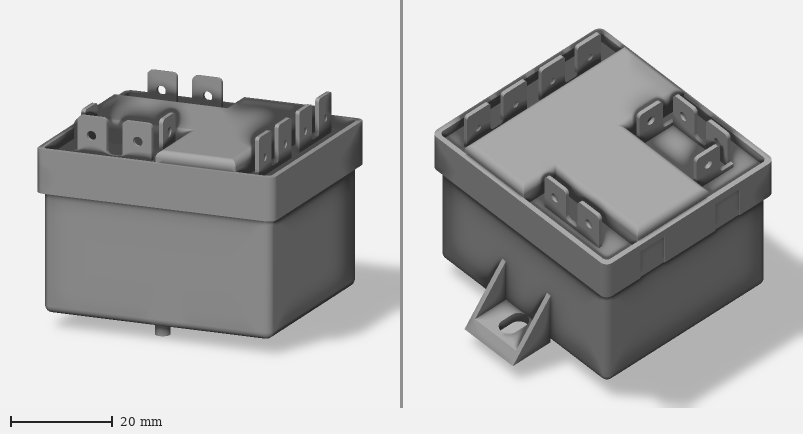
import cadquery as cq


OVERALL_Y = 53.9

COLLAR_X = 51.2
COLLAR_Y = 44.95
COLLAR_BOTTOM = 24.85
COLLAR_TOP = 33.9
COLLAR_CORNER = 1.6
RIM_WIDTH = 1.15
RECESS_DEPTH = 2.25
RECESS_CORNER = 1.1
FLOOR = COLLAR_TOP - RECESS_DEPTH

BODY_X = COLLAR_X - 2 * RIM_WIDTH
BODY_Y = COLLAR_Y - 2 * RIM_WIDTH
BODY_EDGE = 1.5

WINDOW_CENTERS_Y = (10.0, -9.85)
WINDOW_WIDTH = 6.45
WINDOW_TOP = 32.0
WINDOW_DEPTH = 0.2

PLATEAU_TOP = 36.1
PLATEAU_EDGE = 1.45
STEM_LEFT = -0.25
STEM_RIGHT = 17.05
ARM_FRONT = -5.95
ARM_BACK = 12.95

BLADE_TOP = 40.05
BLADE_WIDTH = 6.25
BLADE_GAP = 3.4
BLADE_THICKNESS = 0.85
FOOT_HEIGHT = 0.9
HOLE_PITCH = 9.95
PAIR_WIDTH = 2 * BLADE_WIDTH + BLADE_GAP

LEFT_PAIRS_X = -11.05
REAR_PAIR_Y = 17.95
FRONT_PAIR_Y = -16.3
LEFT_CORNER = 0.95
LEFT_HOLE_DIAMETER = 2.0
LEFT_HOLE_Z = 36.1
SIDE_BLADE_BACK = -6.85
SIDE_FOOT_FRONT = FRONT_PAIR_Y - BLADE_THICKNESS / 2
SIDE_HOLE_Z = 36.7

RIGHT_PAIRS_X = 19.75
RIGHT_PAIRS_Y = (10.65, -9.1)
RIGHT_CORNER = 0.7
RIGHT_HOLE_DIAMETER = 1.5
RIGHT_HOLE_Z = 35.3

PIN_DIAMETER = 3.05
PIN_LENGTH = 3.0
PIN_X = -1.0
PIN_Y = -15.95

BRACKET_X = -1.1
BRACKET_WIDTH = 14.2
BRACKET_REACH = OVERALL_Y - COLLAR_Y / 2
BRACKET_HEIGHT = 12.85
BRACKET_WALL = 1.1
BRACKET_BASE = 2.3
BRACKET_SLOT_WIDTH = 4.1
BRACKET_SLOT_END = 28.05


def block(x_min, x_max, y_min, y_max, z_min, z_max):
    """Box given by its limits along each axis."""
    size = (x_max - x_min, y_max - y_min, z_max - z_min)
    return cq.Workplane("XY").box(*size, centered=False).translate((x_min, y_min, z_min))


def centered_block(size_x, size_y, z_min, z_max):
    """Box centered on the Z axis."""
    return block(-size_x / 2, size_x / 2, -size_y / 2, size_y / 2, z_min, z_max)


def make_body():
    body = centered_block(BODY_X, BODY_Y, 0, FLOOR)
    return body.edges("|Z").fillet(BODY_EDGE).faces("<Z").edges().fillet(BODY_EDGE)


def make_collar():
    """Rounded band with a recess in its top and windows in its -X face."""
    collar = centered_block(COLLAR_X, COLLAR_Y, COLLAR_BOTTOM, COLLAR_TOP)
    collar = collar.edges("|Z").fillet(COLLAR_CORNER)
    recess = centered_block(BODY_X, BODY_Y, FLOOR, COLLAR_TOP)
    collar = collar.cut(recess.edges("|Z").fillet(RECESS_CORNER))
    left = -COLLAR_X / 2
    for center_y in WINDOW_CENTERS_Y:
        y_min = center_y - WINDOW_WIDTH / 2
        y_max = center_y + WINDOW_WIDTH / 2
        collar = collar.cut(block(left, left + WINDOW_DEPTH, y_min, y_max, COLLAR_BOTTOM, WINDOW_TOP))
    return collar


def make_plateau():
    half_y = BODY_Y / 2
    outline = [
        (STEM_LEFT, -half_y),
        (STEM_RIGHT, -half_y),
        (STEM_RIGHT, half_y),
        (STEM_LEFT, half_y),
        (STEM_LEFT, ARM_BACK),
        (-BODY_X / 2, ARM_BACK),
        (-BODY_X / 2, ARM_FRONT),
        (STEM_LEFT, ARM_FRONT),
    ]
    plateau = cq.Workplane("XY", origin=(0, 0, FLOOR)).polyline(outline).close()
    plateau = plateau.extrude(PLATEAU_TOP - FLOOR)
    return plateau.faces(">Z").edges().fillet(PLATEAU_EDGE)


def make_blade_pair(corner, hole_diameter, hole_z):
    """Two blades along X on a common foot, split by a slot with a rounded root."""
    half = BLADE_THICKNESS / 2
    pair = centered_block(PAIR_WIDTH, BLADE_THICKNESS, FLOOR, BLADE_TOP)
    slot = centered_block(BLADE_GAP, BLADE_THICKNESS, FLOOR + FOOT_HEIGHT, BLADE_TOP)
    pair = pair.cut(slot.faces("<Z").edges("|Y").fillet(corner))
    pair = pair.faces(">Z").edges("|Y").fillet(corner)
    holes = cq.Workplane("XZ", origin=(0, 0, hole_z))
    holes = holes.pushPoints([(-HOLE_PITCH / 2, 0), (HOLE_PITCH / 2, 0)]).circle(hole_diameter / 2)
    return pair.cut(holes.extrude(half, both=True))


def make_side_blade():
    """One blade along Y, centered on X = 0, whose foot runs forward to the front pair."""
    half = BLADE_THICKNESS / 2
    blade_front = SIDE_BLADE_BACK - BLADE_WIDTH
    foot_top = FLOOR + FOOT_HEIGHT
    outline = cq.Workplane("YZ").moveTo(SIDE_BLADE_BACK, FLOOR).lineTo(SIDE_BLADE_BACK, BLADE_TOP)
    outline = outline.lineTo(blade_front, BLADE_TOP).lineTo(blade_front, foot_top + LEFT_CORNER)
    outline = outline.radiusArc((blade_front - LEFT_CORNER, foot_top), LEFT_CORNER)
    outline = outline.lineTo(SIDE_FOOT_FRONT, foot_top).lineTo(SIDE_FOOT_FRONT, FLOOR).close()
    blade = outline.extrude(half, both=True)
    blade = blade.faces(">Z").edges("|X").fillet(LEFT_CORNER)
    hole = cq.Workplane("YZ", origin=(0, SIDE_BLADE_BACK - BLADE_WIDTH / 2, SIDE_HOLE_Z))
    return blade.cut(hole.circle(LEFT_HOLE_DIAMETER / 2).extrude(half, both=True))


def make_terminals():
    """Rear pair, front pair with its two side blades, and the two pairs along Y."""
    left_pair = make_blade_pair(LEFT_CORNER, LEFT_HOLE_DIAMETER, LEFT_HOLE_Z)
    right_pair = make_blade_pair(RIGHT_CORNER, RIGHT_HOLE_DIAMETER, RIGHT_HOLE_Z)
    right_pair = right_pair.rotate((0, 0, 0), (0, 0, 1), 90)
    side_blade = make_side_blade()
    side_offset = (PAIR_WIDTH + BLADE_THICKNESS) / 2
    terminals = []
    for pair_y in (REAR_PAIR_Y, FRONT_PAIR_Y):
        terminals.append(left_pair.translate((LEFT_PAIRS_X, pair_y, 0)))
    for offset in (-side_offset, side_offset):
        terminals.append(side_blade.translate((LEFT_PAIRS_X + offset, 0, 0)))
    for pair_y in RIGHT_PAIRS_Y:
        terminals.append(right_pair.translate((RIGHT_PAIRS_X, pair_y, 0)))
    return terminals


def make_pin():
    pin = cq.Workplane("XY", origin=(PIN_X, PIN_Y, -PIN_LENGTH)).circle(PIN_DIAMETER / 2)
    return pin.extrude(PIN_LENGTH)


def make_bracket():
    """Wedge hollowed between two side walls, with a round-ended slot through its base."""
    wall_y = BODY_Y / 2
    root_y = wall_y - BODY_EDGE
    wedge = cq.Workplane("YZ", origin=(BRACKET_X, 0, 0))
    wedge = wedge.polyline([
        (root_y, BODY_EDGE),
        (wall_y, BODY_EDGE),
        (wall_y, 0),
        (BRACKET_REACH, 0),
        (wall_y, BRACKET_HEIGHT),
        (root_y, BRACKET_HEIGHT),
    ]).close().extrude(BRACKET_WIDTH / 2, both=True)
    inner_half = BRACKET_WIDTH / 2 - BRACKET_WALL
    cavity = block(
        BRACKET_X - inner_half, BRACKET_X + inner_half, wall_y, BRACKET_REACH, BRACKET_BASE, BRACKET_HEIGHT
    )
    slot_length = BRACKET_SLOT_END - wall_y
    slot = cq.Workplane("XY", origin=(BRACKET_X, wall_y + slot_length / 2, 0))
    slot = slot.slot2D(slot_length, BRACKET_SLOT_WIDTH, 90).extrude(BRACKET_BASE)
    return wedge.cut(cavity).cut(slot)


result = make_body().union(make_collar()).union(make_plateau())
for terminal in make_terminals():
    result = result.union(terminal)
result = result.union(make_pin()).union(make_bracket())